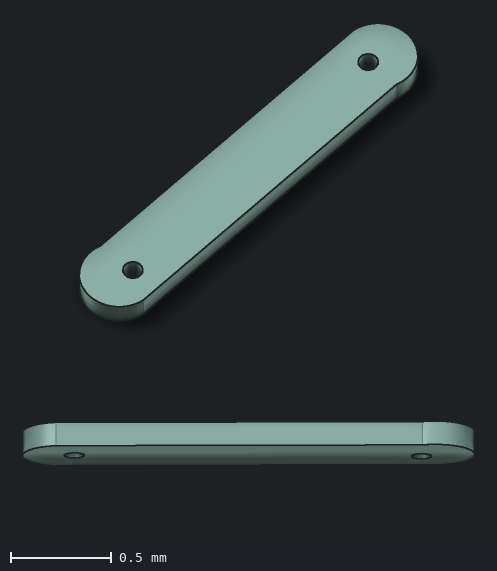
import cadquery as cq
import math

length_x = 1.15
length_y = 2.08
thickness = 0.12
end_radius = 0.198
hole_diameter = 0.098
lower_hole = (-0.322, -0.795)
upper_hole = (0.345, 0.79)
left_edge_angle = 137.8
right_edge_angle = -32.7

end_x = length_x / 2 - end_radius
end_y = length_y / 2 - end_radius


def end_point(side, angle):
    """Point on an end arc: side -1 is the lower end, +1 the upper end turned by 180 degrees."""
    turned = math.radians(angle)
    x = end_x - end_radius * math.cos(turned)
    y = end_y - end_radius * math.sin(turned)
    return (side * x, side * y)


arc_middle_angle = (left_edge_angle + right_edge_angle) / 2 + 180

link = (
    cq.Workplane("XY")
    .workplane(offset=-thickness / 2)
    .moveTo(*end_point(-1, left_edge_angle))
    .threePointArc(end_point(-1, arc_middle_angle), end_point(-1, right_edge_angle))
    .lineTo(*end_point(1, left_edge_angle))
    .threePointArc(end_point(1, arc_middle_angle), end_point(1, right_edge_angle))
    .close()
    .extrude(thickness)
)

result = link.faces(">Z").workplane(origin=(0, 0, 0)).pushPoints([lower_hole, upper_hole]).hole(hole_diameter)